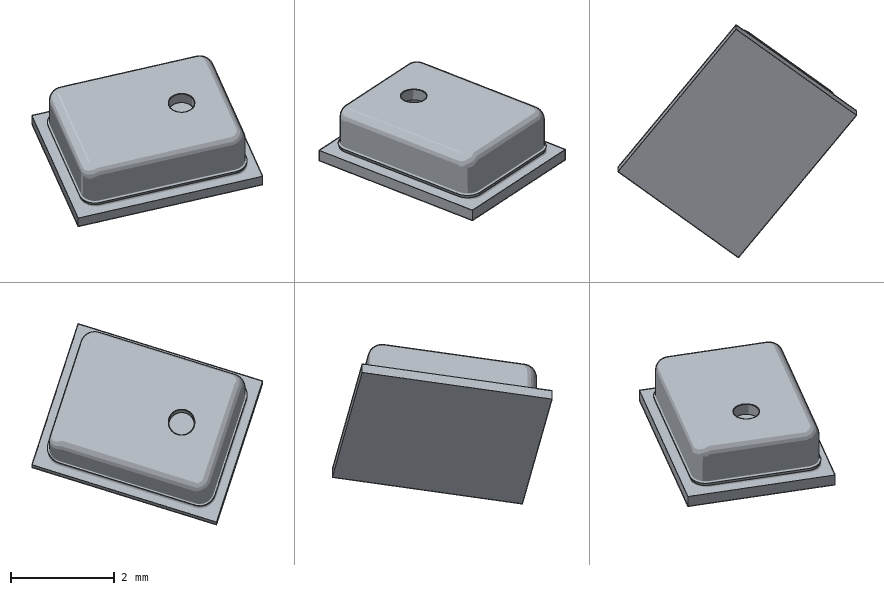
import cadquery as cq
import math

plate_x = 2.95
plate_y = 3.76
plate_z = 0.235

total_z = 1.2
lid_x = 2.54
lid_y = 3.328
lid_corner_radius = 0.28
lid_top_radius = 0.25
lid_wall = 0.24

foot_radius = 0.053
waist_reach = 0.02
waist_z = plate_z + foot_radius
foot_reach = waist_reach + foot_radius
lip_reach = 0.038
lip_bottom_z = 0.35
lip_round = 0.01
lip_top_z = lip_bottom_z + lip_round
root_radius = 0.01
rim_overlap = lid_wall / 2

outward_up = 45
inward_down = 225

port_diameter = 0.5
port_y = 0.7
port_chamfer = 0.008


def arc_middle(center_reach, center_z, radius, angle):
    """Point on a circle at the given angle in degrees."""
    turn = math.radians(angle)
    return (center_reach + radius * math.cos(turn), center_z + radius * math.sin(turn))


def make_plate():
    return cq.Workplane("XY").box(plate_x, plate_y, plate_z, centered=(True, True, False))


def make_rounded_block(size_x, size_y, top_z, corner_radius):
    """Block from the plate top up to top_z with rounded upright edges."""
    block = (
        cq.Workplane("XY")
        .workplane(offset=plate_z)
        .rect(size_x, size_y)
        .extrude(top_z - plate_z)
    )
    return block.edges("|Z").fillet(corner_radius)


def make_lid():
    block = make_rounded_block(lid_x, lid_y, total_z, lid_corner_radius)
    return block.faces(">Z").edges().fillet(lid_top_radius)


def make_cavity():
    """Space between the plate and the lid, as a solid to cut away."""
    return make_rounded_block(
        lid_x - 2 * lid_wall,
        lid_y - 2 * lid_wall,
        total_z - lid_wall,
        lid_corner_radius - lid_wall,
    )


def make_rim_section():
    """Flared foot, narrow waist and rounded lip, drawn where the rim meets the +X wall."""
    section_plane = cq.Plane(origin=(lid_x / 2, 0, 0), xDir=(1, 0, 0), normal=(0, -1, 0))
    foot_middle = arc_middle(foot_reach, waist_z, foot_radius, inward_down)
    lip_middle = arc_middle(lip_reach - lip_round, lip_bottom_z, lip_round, outward_up)
    root_middle = arc_middle(root_radius, lip_top_z + root_radius, root_radius, inward_down)
    return (
        cq.Workplane(section_plane)
        .moveTo(-rim_overlap, plate_z)
        .lineTo(foot_reach, plate_z)
        .threePointArc(foot_middle, (waist_reach, waist_z))
        .lineTo(lip_reach, lip_bottom_z)
        .threePointArc(lip_middle, (lip_reach - lip_round, lip_top_z))
        .lineTo(root_radius, lip_top_z)
        .threePointArc(root_middle, (0, lip_top_z + root_radius))
        .lineTo(-rim_overlap, lip_top_z + root_radius)
        .close()
    )


def make_lid_outline():
    """Rounded lid outline as one closed wire that starts at the rim section."""
    side_x = lid_x / 2
    side_y = lid_y / 2
    corner_x = side_x - lid_corner_radius
    corner_y = side_y - lid_corner_radius
    return (
        cq.Workplane("XY")
        .moveTo(side_x, 0)
        .lineTo(side_x, corner_y)
        .radiusArc((corner_x, side_y), -lid_corner_radius)
        .lineTo(-corner_x, side_y)
        .radiusArc((-side_x, corner_y), -lid_corner_radius)
        .lineTo(-side_x, -corner_y)
        .radiusArc((-corner_x, -side_y), -lid_corner_radius)
        .lineTo(corner_x, -side_y)
        .radiusArc((side_x, -corner_y), -lid_corner_radius)
        .close()
    )


def make_rim():
    return make_rim_section().sweep(make_lid_outline())


def make_port():
    """Round port through the lid top with a chamfered mouth, as a solid to cut away."""
    port_radius = port_diameter / 2
    return (
        cq.Workplane("XZ", origin=(0, port_y, total_z))
        .moveTo(0, 0)
        .lineTo(port_radius + port_chamfer, 0)
        .lineTo(port_radius, -port_chamfer)
        .lineTo(port_radius, -lid_wall)
        .lineTo(0, -lid_wall)
        .close()
        .revolve(360, (0, 0), (0, 1))
    )


body = make_plate().union(make_lid()).union(make_rim())
result = body.cut(make_cavity()).cut(make_port())